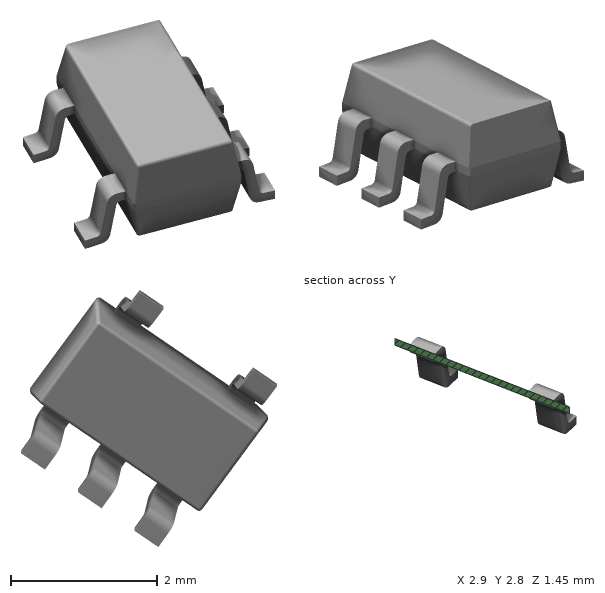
import cadquery as cq
import math

length = 2.9
width = 1.6
top_z = 1.45
bottom_z = 0.15
band_bottom_z = 0.73
band_top_z = 0.853
draft = 9.5
edge_radius = 0.05

marker_diameter = 0.4
marker_depth = 0.02
marker_x = 0.998
marker_y = 0.392

span = 2.8
lead_width = 0.4
lead_thickness = 0.15
lead_pitch = 0.95
lead_top_z = 0.858
shoulder_y = 1.055
leg_lean = 10.0
foot_slope = 4.0
outer_bend_radius = 0.15
inner_bend_radius = 0.07
back_lead_columns = (-1, 0, 1)
front_lead_columns = (-1, 1)


def make_housing():
    """Drafted box with a band, rounded along its edges, with a recess for the marker."""
    band = cq.Workplane("XY", origin=(0, 0, band_bottom_z)).rect(length, width)
    band = band.extrude(band_top_z - band_bottom_z)
    upper = cq.Workplane("XY", origin=(0, 0, band_top_z)).rect(length, width)
    upper = upper.extrude(top_z - band_top_z, taper=draft)
    lower = cq.Workplane("XY", origin=(0, 0, band_bottom_z)).rect(length, width)
    lower = lower.extrude(bottom_z - band_bottom_z, taper=draft)
    body = band.union(upper).union(lower)

    def is_rounded(edge):
        """True for the upright, slanted, top and bottom edges, except two sharp ones at -X."""
        middle = edge.Center()
        if middle.z > top_z - edge_radius:
            return middle.x > -length / 4
        if middle.z > band_top_z + edge_radius:
            return middle.x > 0 or middle.y < 0
        if middle.z < bottom_z + edge_radius:
            return True
        return abs(middle.x) > length / 4 and abs(middle.y) > width / 4

    edges = [edge for edge in body.edges().vals() if is_rounded(edge)]
    body = body.newObject(edges).fillet(edge_radius)
    return body.cut(make_marker())


def make_marker():
    """Round disc with its top level with the housing's."""
    plane = cq.Workplane("XY", origin=(marker_x, marker_y, top_z))
    return plane.circle(marker_diameter / 2).extrude(-marker_depth)


def make_lead(x, side):
    """Gull-wing lead at x, reaching out to +Y (side 1) or -Y (side -1) from the band."""
    lean = math.tan(math.radians(leg_lean))
    slope = math.tan(math.radians(foot_slope))
    leg_width_y = lead_thickness / math.cos(math.radians(leg_lean))
    foot_height = lead_thickness / math.cos(math.radians(foot_slope))
    tip_y = span / 2

    def leg_foot_corner(leg_y_at_top, foot_z_at_tip):
        """Corner of a leg face, given its y at the lead top, and a foot face, given its z at the tip."""
        drop = lead_top_z - foot_z_at_tip
        y = (leg_y_at_top + lean * (drop - tip_y * slope)) / (1 - lean * slope)
        return (y, foot_z_at_tip + (tip_y - y) * slope)

    under_z = lead_top_z - lead_thickness
    shoulder_outer = (shoulder_y, lead_top_z)
    shoulder_inner = (shoulder_y + lead_thickness * lean - leg_width_y, under_z)
    ankle_inner = leg_foot_corner(shoulder_y, foot_height)
    ankle_outer = leg_foot_corner(shoulder_y - leg_width_y, 0)
    outline = [
        (width / 2, lead_top_z),
        shoulder_outer,
        ankle_inner,
        (tip_y, foot_height),
        (tip_y, 0),
        ankle_outer,
        shoulder_inner,
        (width / 2, under_z),
    ]
    lead = cq.Workplane("YZ").polyline(outline).close().extrude(lead_width / 2, both=True)

    bends = [
        (shoulder_outer, outer_bend_radius),
        (shoulder_inner, inner_bend_radius),
        (ankle_outer, outer_bend_radius),
        (ankle_inner, inner_bend_radius),
    ]
    for (y, z), radius in bends:
        nearest = cq.selectors.NearestToPointSelector((0, y, z))
        lead = lead.edges("|X").edges(nearest).fillet(radius)

    if side < 0:
        lead = lead.mirror("XZ")
    return lead.translate((x, 0, 0))


housing = make_housing()
marker = make_marker()
leads = [make_lead(column * lead_pitch, 1) for column in back_lead_columns]
leads += [make_lead(column * lead_pitch, -1) for column in front_lead_columns]

result = cq.Compound.makeCompound([housing.val(), marker.val(), *[lead.val() for lead in leads]])